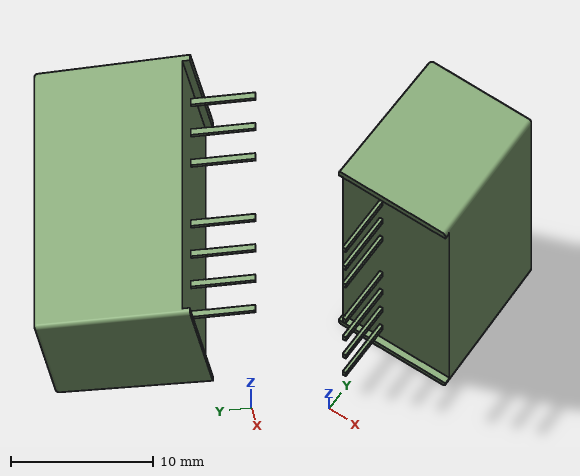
import cadquery as cq

case_width = 9.1
case_height = 21.8
case_depth = 11.2
draft_angle = 1.0
edge_radius = 0.3

standoff = 0.52
top_rail = 0.6
bottom_rail = 0.45

pin_width = 0.26
pin_height = 0.48
pin_projection = 4.1
pin_x = -1.26
row_span = 17.79
row_places = 8
empty_place = 3
pin_pitch = row_span / (row_places - 1)


def make_case():
    block = (
        cq.Workplane("XZ")
        .rect(case_width, case_height)
        .extrude(-case_depth, taper=draft_angle)
    )
    return block.edges("not <Y").fillet(edge_radius)


def make_front_recess():
    recess_height = case_height - top_rail - bottom_rail
    return (
        cq.Workplane("XY")
        .box(case_width, standoff, recess_height)
        .translate((0, standoff / 2, (bottom_rail - top_rail) / 2))
    )


def make_pin(z):
    length = pin_projection + standoff
    return (
        cq.Workplane("XY")
        .box(pin_width, length, pin_height)
        .translate((pin_x, standoff - length / 2, z))
    )


result = make_case().cut(make_front_recess())
for place in range(row_places):
    if place != empty_place:
        result = result.union(make_pin(row_span / 2 - place * pin_pitch))